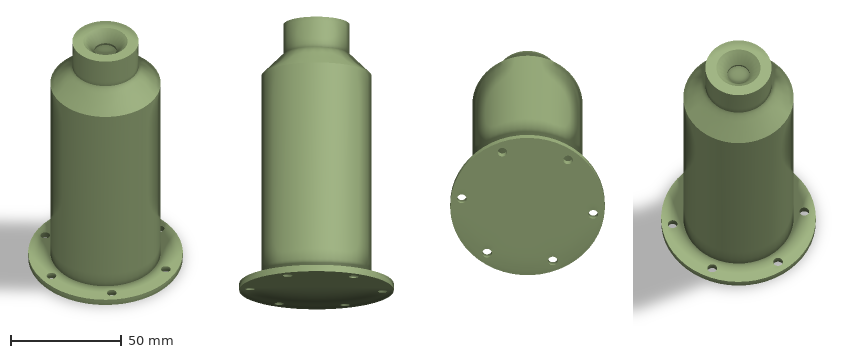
import cadquery as cq

total_height = 124.0
flange_thickness = 3.0
shoulder_bottom = 100.1
shoulder_top = 110.0

flange_diameter = 70.0
body_diameter = 50.0
neck_diameter = 30.0

mounting_hole_count = 6
mounting_hole_diameter = 4.3
bolt_circle_diameter = (flange_diameter + body_diameter) / 2
first_hole_angle = 90

recess_top_diameter = 20.0
bore_diameter = 10.0
recess_depth = 5.0
bore_depth = 1.0


def turned_body():
    """Flange, cylinder, conical shoulder and neck as one revolved profile."""
    flange_radius = flange_diameter / 2
    body_radius = body_diameter / 2
    neck_radius = neck_diameter / 2
    profile = [
        (0, 0),
        (flange_radius, 0),
        (flange_radius, flange_thickness),
        (body_radius, flange_thickness),
        (body_radius, shoulder_bottom),
        (neck_radius, shoulder_top),
        (neck_radius, total_height),
        (0, total_height),
    ]
    return cq.Workplane("XZ").polyline(profile).close().revolve(360, (0, 0), (0, 1))


def neck_recess():
    """Cutter for the cone that narrows to the blind bore."""
    recess_floor = total_height - recess_depth
    bore_floor = recess_floor - bore_depth
    profile = [
        (0, bore_floor),
        (bore_diameter / 2, bore_floor),
        (bore_diameter / 2, recess_floor),
        (recess_top_diameter / 2, total_height),
        (0, total_height),
    ]
    return cq.Workplane("XZ").polyline(profile).close().revolve(360, (0, 0), (0, 1))


def mounting_holes():
    """Cutters for the ring of through holes in the flange."""
    return (
        cq.Workplane("XY")
        .polarArray(bolt_circle_diameter / 2, first_hole_angle, 360, mounting_hole_count)
        .circle(mounting_hole_diameter / 2)
        .extrude(flange_thickness)
    )


result = turned_body().cut(neck_recess()).cut(mounting_holes())